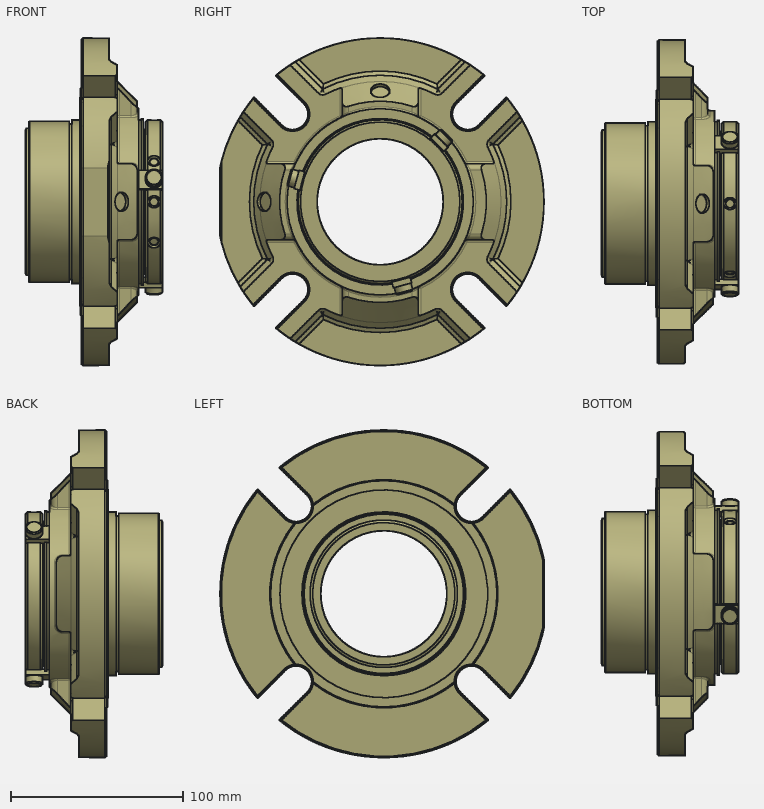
import cadquery as cq
import math


bore_dia = 73.0
lip_dia = 85.6
lip_length = 1.9
lip_chamfer_axial = 0.5
lip_chamfer_radial = 1.5
sleeve_dia = 93.6
sleeve_chamfer = 0.5
groove_start = 25.5
groove_width = 1.5
groove_dia = 90.5
collar_dia = 95.1

plate_dia = 190.2
pilot_face = 31.5
pilot_dia = 120.6
gasket_face = 32.0
gasket_dia = 132.5
plate_front = 32.5
plate_thickness = 16.2
plate_back = plate_front + plate_thickness
plate_chamfer_axial = 1.1
plate_chamfer_radial = 0.8
flat_distance = 93.0
flat_chamfer = 1.0

slot_width = 17.9
slot_center_radius = 72.0
slot_chamfer = 1.0
pad_rise = 4.5
foot_rise = 1.1
foot_lean = 65
wall_lean = 45
pad_back = plate_back + pad_rise
pad_base_width = 47.5
slot_angles = [45, 135, 225, 315]

cone_base_radius = 74.5
hub_radius = 54.0
hub_end = 65.8
hub_fillet = 1.3
lobe_width = 44.1
lobe_corner_radius = 3.6
lobe_end = 64.9
short_lobe_end = 61.6
lobe_ends = {0: short_lobe_end, 90: lobe_end, 180: lobe_end, 270: lobe_end}
port_dia = 11.0
port_depth = 2.3
port_positions = {180: 56.0, 90: 58.8}

disc_hub_dia = 95.1
disc_dia = 96.6
disc_start = 67.3
disc_end = 68.5
step_dia = 84.0
step_end = 69.0
tail_dia = 76.1
ring_start = 69.6
overall_length = 79.7
ring_dia = 95.1
ring_chamfer = 1.3

clip_angles = [45, 165, 285]
clip_width = 11.0
clip_inner = 46.8
clip_outer = 50.2
head_dia = 10.0
head_top = 54.8
head_chamfer = 0.8
screw_x = (ring_start + overall_length) / 2

set_screw_angles = [90, 150, 180, 210]
set_screw_mouth_dia = 7.2
set_screw_dia = 5.0
set_screw_mouth_depth = 1.1
set_screw_depth = 1.7


def revolve_profile(points):
    """Revolve (x, radius) points about the X axis."""
    return cq.Workplane("XY").polyline(points).close().revolve(360, (0, 0, 0), (1, 0, 0))


def cylinder(dia, start, end):
    """Solid cylinder on the X axis between two axial positions."""
    return cq.Workplane("YZ").workplane(offset=start).circle(dia / 2).extrude(end - start)


def turn(shape, angle):
    """Turn a shape about X, from +Y toward +Z."""
    return shape.rotate((0, 0, 0), (1, 0, 0), angle)


def sleeve():
    lip_r = lip_dia / 2
    sleeve_r = sleeve_dia / 2
    groove_end = groove_start + groove_width
    return revolve_profile([
        (0, 0),
        (0, lip_r - lip_chamfer_radial),
        (lip_chamfer_axial, lip_r),
        (lip_length, lip_r),
        (lip_length, sleeve_r - sleeve_chamfer),
        (lip_length + sleeve_chamfer, sleeve_r),
        (groove_start, sleeve_r),
        (groove_start, groove_dia / 2),
        (groove_end, groove_dia / 2),
        (groove_end, collar_dia / 2),
        (plate_back, collar_dia / 2),
        (plate_back, 0),
    ])


def plate():
    radius = plate_dia / 2
    gasket_r = gasket_dia / 2
    gasket_chamfer = plate_front - gasket_face
    disc = revolve_profile([
        (pilot_face, 0),
        (pilot_face, pilot_dia / 2),
        (gasket_face, pilot_dia / 2),
        (gasket_face, gasket_r - gasket_chamfer),
        (plate_front, gasket_r),
        (plate_front, radius - plate_chamfer_radial),
        (plate_front + plate_chamfer_axial, radius),
        (pad_back, radius),
        (pad_back, 0),
    ])
    beyond_flat = (
        cq.Workplane("XY")
        .polyline([
            (plate_front, -flat_distance + plate_chamfer_radial),
            (plate_front + plate_chamfer_axial, -flat_distance),
            (plate_back - flat_chamfer, -flat_distance),
            (plate_back, -flat_distance + flat_chamfer),
            (plate_back, -plate_dia),
            (plate_front, -plate_dia),
        ])
        .close()
        .extrude(plate_dia, both=True)
    )
    return disc.cut(beyond_flat)


def cone(end):
    """45 degree cone rising from the back of the plate."""
    return revolve_profile([
        (plate_back, 0),
        (plate_back, cone_base_radius),
        (end, cone_base_radius - (end - plate_back)),
        (end, 0),
    ])


def pocket(angle):
    """Recess between two pads and the cone, with walls leaning outward and a flatter foot at the floor."""
    cone_radius = cone_base_radius - foot_rise
    pad_width = pad_base_width - 2 * foot_rise
    pad_edge_offset = pad_width / math.sqrt(2)
    corner_y = pad_edge_offset / 2 + math.sqrt(cone_radius**2 / 2 - pad_edge_offset**2 / 4)
    corner_z = corner_y - pad_edge_offset
    outer_y = plate_dia
    outer_z = outer_y - pad_edge_offset
    outline = (
        cq.Workplane("YZ", origin=(plate_back + foot_rise, 0, 0))
        .moveTo(corner_y, -corner_z)
        .threePointArc((cone_radius, 0), (corner_y, corner_z))
        .lineTo(outer_y, outer_z)
        .lineTo(outer_y, -outer_z)
        .close()
        .val()
    )
    foot = cq.Workplane("YZ").add(outline).toPending().extrude(-foot_rise, taper=foot_lean)
    walls = cq.Workplane("YZ").add(outline).toPending().extrude(pad_rise - foot_rise, taper=-wall_lean)
    return turn(foot.union(walls), angle)


def lobe(angle, end):
    """Flat-sided segment of the cone with rounded rear corners."""
    block = (
        cq.Workplane("XY")
        .box(end - plate_back, cone_base_radius, lobe_width, centered=(False, False, True))
        .translate((plate_back, 0, 0))
        .edges(">X and |Y")
        .fillet(lobe_corner_radius)
    )
    return turn(block.intersect(cone(end)), angle)


def hub():
    """Hub and lobes on the rear plane of the pads, with filleted inner corners."""
    body = cylinder(2 * hub_radius, plate_back, hub_end)
    for angle, end in lobe_ends.items():
        body = body.union(lobe(angle, end))
    body = body.union(cylinder(2 * cone_base_radius, plate_back, pad_back))
    half_lobe = lobe_width / 2
    tolerance = 0.02

    def is_inner_corner(edge):
        middle = edge.Center()
        side_offset = min(abs(middle.y), abs(middle.z))
        on_lobe_side = edge.geomType() == "LINE" and math.isclose(side_offset, half_lobe, abs_tol=tolerance)
        if math.isclose(middle.x, pad_back, abs_tol=tolerance):
            return on_lobe_side or hub_radius / 2 < math.hypot(middle.y, middle.z) < hub_radius
        return on_lobe_side and math.hypot(middle.y, middle.z) < hub_radius + tolerance

    return body.edges().filter(is_inner_corner).fillet(hub_fillet)


def slot_cutter(angle):
    """Open-ended bolt slot with chamfered front and back edges."""
    def slot(start, end, start_width, end_width):
        round_end = (
            cq.Workplane("YZ", origin=(start, slot_center_radius, 0))
            .circle(start_width / 2)
            .workplane(offset=end - start)
            .circle(end_width / 2)
            .loft()
        )
        channel = (
            cq.Workplane("XZ", origin=(0, slot_center_radius, 0))
            .polyline([
                (start, -start_width / 2),
                (end, -end_width / 2),
                (end, end_width / 2),
                (start, start_width / 2),
            ])
            .close()
            .extrude(-plate_dia / 2)
        )
        return round_end.union(channel)

    wide = slot_width + 2 * slot_chamfer
    cutter = slot(plate_front - slot_chamfer, pad_back + slot_chamfer, slot_width, slot_width)
    cutter = cutter.union(slot(plate_front, plate_front + slot_chamfer, wide, slot_width))
    cutter = cutter.union(slot(pad_back - slot_chamfer, pad_back, slot_width, wide))
    return turn(cutter, angle)


def port_cutter(angle, position):
    """Shallow plug hole square to the 45 degree lobe face."""
    radius = cone_base_radius - (position - plate_back)
    face = cq.Plane(origin=(position, radius, 0), xDir=(0, 0, 1), normal=(1, 1, 0))
    drill = cq.Workplane(face).workplane(offset=-port_depth).circle(port_dia / 2).extrude(2 * port_depth)
    return turn(drill, angle)


def tail_and_ring():
    disc = revolve_profile([
        (hub_end, 0),
        (hub_end, disc_hub_dia / 2),
        (disc_start, disc_hub_dia / 2),
        (disc_start, disc_dia / 2),
        (disc_end, disc_dia / 2),
        (disc_end, 0),
    ])
    step = cylinder(step_dia, disc_end, step_end)
    tail = cylinder(tail_dia, step_end, ring_start)
    ring = cylinder(ring_dia, ring_start, overall_length).edges().chamfer(ring_chamfer)
    return disc.union(step).union(tail).union(ring)


def clip(angle):
    """Flat clip bridging the hub and the lock ring, held by a cap screw."""
    bar = (
        cq.Workplane("XY")
        .box(overall_length - hub_end, clip_outer - clip_inner, clip_width, centered=(False, False, True))
        .translate((hub_end, clip_inner, 0))
    )
    head = (
        cq.Workplane("XZ", origin=(screw_x, clip_inner, 0))
        .circle(head_dia / 2)
        .extrude(clip_inner - head_top)
        .faces(">Y")
        .chamfer(head_chamfer)
    )
    return turn(bar.union(head), angle)


def set_screw_cutter(angle):
    """Blind set screw hole with a conical mouth in the lock ring rim."""
    ring_r = ring_dia / 2
    mouth_r = set_screw_mouth_dia / 2
    hole_r = set_screw_dia / 2
    cutter = (
        cq.Workplane("XY")
        .polyline([
            (0, ring_r + mouth_r),
            (mouth_r, ring_r + mouth_r),
            (mouth_r, ring_r),
            (hole_r, ring_r - set_screw_mouth_depth),
            (hole_r, ring_r - set_screw_depth),
            (0, ring_r - set_screw_depth),
        ])
        .close()
        .revolve(360, (0, 0, 0), (0, 1, 0))
        .translate((screw_x, 0, 0))
    )
    return turn(cutter, angle)


result = sleeve().union(plate().union(hub()))
for pocket_angle in lobe_ends:
    result = result.cut(pocket(pocket_angle))
result = result.union(tail_and_ring())
for slot_angle in slot_angles:
    result = result.cut(slot_cutter(slot_angle))
for port_angle, port_position in port_positions.items():
    result = result.cut(port_cutter(port_angle, port_position))
for screw_angle in set_screw_angles:
    result = result.cut(set_screw_cutter(screw_angle))
for clip_angle in clip_angles:
    result = result.union(clip(clip_angle))
result = result.cut(cylinder(bore_dia, 0, overall_length))